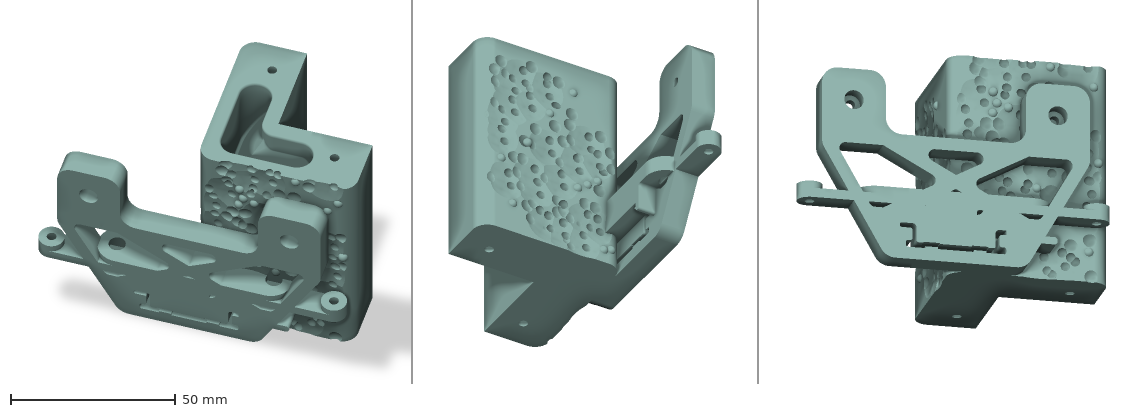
import cadquery as cq
import math


MIDDLE_X = 49.0
PLATE_DEPTH = 8.0
LAP_DEPTH = PLATE_DEPTH / 2
SCREW_DIAMETER = 3.0

BLOCK_LENGTH = 50.0
ARM_WIDTH = 20.0
BLOCK_HEIGHT = 70.0
BLOCK_CORNER_RADIUS = 5.0
BLOCK_SCREW_INSET = 11.8
BLOCK_SCREW_ALONG = 40.4

POCKET_WALL = 4.95
POCKET_WIDTH = 10.0
POCKET_LENGTH = 28.9
POCKET_INNER_RADIUS = 4.95
POCKET_END_RADIUS = 4.95
POCKET_RIM_RADIUS = 1.0
POCKET_SHALLOW_DEPTH = 6.9
POCKET_FLOOR_RADIUS = 0.6
POCKET_SLOPE = 60.0

CRATER_RIM_RADIUS = 6.5
CRATER_DEPTH = 1.1
BUBBLE_RADIUS = 2.6
BUBBLE_DEPTH = 1.2
PIT_RADIUS = 1.5
PIT_SINK = 0.5
SPHERES_PER_CUT = 6

BRACKET_WIDTH = 84.0
BRACKET_HEIGHT = 60.0
TOWER_WIDTH = 20.0
WEB_TOP = 40.0
OUTLINE_RADIUS = 5.0
SIDE_START = 35.0
BAR_WIDTH = 4.0
WINDOW_BOTTOM = 15.9
WINDOW_TOP = WEB_TOP - BAR_WIDTH
DIAGONAL_ANGLE = 28.3
WINDOW_RADIUS = 2.0
TOWER_HOLE_HEIGHT = 50.0
TOWER_COUNTERBORE_DIAMETER = 6.0
TOWER_COUNTERBORE_DEPTH = 4.95

RAIL_TOP = 11.6
LIP_BOTTOM = 10.1
RAIL_HALF_WIDTH = 17.6
POST_OUTER = 13.7
POST_INNER = 12.4
CHANNEL_HALF_WIDTH = 15.7
CHANNEL_BOTTOM = 3.9
CHANNEL_TOP = 6.0
CHANNEL_INNER_TOP = 5.5
RAIL_RADIUS = 0.7
SHOULDER_RADIUS = 1.3
RAIL_PAD_OFFSET = 7.6
PAD_WIDTH = 4.0
PAD_HEIGHT = 0.6
NOTCH_WIDTH = 5.2
NOTCH_HEIGHT = 0.3

STRAP_BASE = 17.5
STRAP_THICKNESS = 3.0
STRAP_HOLE_SPACING = 90.0
RING_HEIGHT = 5.2

CLIP_DEPTH = 14.0
FLANGE_THICKNESS = 5.2
FLANGE_CENTRE_SPACING = 48.0
FLANGE_HOLE_SPACING = 50.0
FLANGE_HOLE_DIAMETER = 5.2
CLIP_LEFT = 29.3
CLIP_BODY_RIGHT = 55.5
CLIP_JOINT_RADIUS = 0.9
HOOK_BOTTOM = 8.3
LEVER_TOP = 10.7
LEVER_END = 80.9
LEVER_TIP = 0.8


def front_prism(points, depth):
    """Prism over an outline of (x, z) points, running back from the front face."""
    return cq.Workplane("XZ").polyline(points).close().extrude(-depth)


def front_box(x_min, x_max, z_min, z_max):
    """Box as deep as the bracket, starting at the front face."""
    box = cq.Workplane("XY").box(x_max - x_min, PLATE_DEPTH, z_max - z_min, centered=False)
    return box.translate((x_min, 0, z_min))


def round_at(body, points, radius, depth=PLATE_DEPTH):
    """Round the front-to-back edges that pass through the given (x, z) points."""
    for x, z in points:
        body = body.edges(cq.selectors.NearestToPointSelector((x, depth / 2, z))).fillet(radius)
    return body


def mirrored(body):
    return body.mirror("YZ", (MIDDLE_X, 0, 0))



BLOCK_BACK = PLATE_DEPTH + BLOCK_LENGTH


def l_outline(inset, width, length):
    """L-shaped outline whose outer corner lies `inset` from the block's outer faces."""
    x = MIDDLE_X + inset
    y = PLATE_DEPTH + inset
    return (
        cq.Workplane("XY")
        .moveTo(x, y)
        .lineTo(x + length, y)
        .lineTo(x + length, y + width)
        .lineTo(x + width, y + width)
        .lineTo(x + width, y + length)
        .lineTo(x, y + length)
        .close()
    )


def make_pocket():
    """L-shaped pocket whose floor falls from the inner walls to the outer walls."""
    inner_x = MIDDLE_X + POCKET_WALL + POCKET_WIDTH
    inner_y = PLATE_DEPTH + POCKET_WALL + POCKET_WIDTH
    shallow_z = BLOCK_HEIGHT - POCKET_SHALLOW_DEPTH
    fall = POCKET_WIDTH * math.tan(math.radians(POCKET_SLOPE))
    deep_z = shallow_z - fall
    pocket = l_outline(POCKET_WALL, POCKET_WIDTH, POCKET_LENGTH).extrude(BLOCK_HEIGHT - deep_z)
    pocket = pocket.translate((0, 0, deep_z))
    inner_edge = cq.selectors.NearestToPointSelector((inner_x, inner_y, BLOCK_HEIGHT - fall))
    pocket = pocket.edges(inner_edge).fillet(POCKET_INNER_RADIUS)
    outer_edges = pocket.edges("|Z").filter(
        lambda e: math.hypot(e.Center().x - inner_x, e.Center().y - inner_y) > POCKET_WIDTH
    )
    pocket = pocket.newObject(outer_edges.vals()).fillet(POCKET_END_RADIUS)
    far_z = shallow_z + fall * BLOCK_LENGTH / POCKET_WIDTH
    wedge = [(-POCKET_WIDTH, deep_z), (0, shallow_z), (BLOCK_LENGTH, far_z), (BLOCK_LENGTH, deep_z)]
    slope_x = cq.Workplane("XZ").polyline(wedge).close().extrude(-BLOCK_LENGTH)
    slope_x = slope_x.translate((inner_x, PLATE_DEPTH, 0))
    slope_y = cq.Workplane("YZ").polyline(wedge).close().extrude(BLOCK_LENGTH)
    slope_y = slope_y.translate((MIDDLE_X, inner_y, 0))
    pocket = pocket.cut(slope_x.intersect(slope_y))
    floor_edges = pocket.edges("not |Z").filter(lambda e: e.Center().z < BLOCK_HEIGHT - POCKET_RIM_RADIUS)
    ridge = cq.selectors.NearestToPointSelector(
        (inner_x - POCKET_WIDTH / 2, inner_y - POCKET_WIDTH / 2, shallow_z - fall / 2)
    )
    floor_edges = floor_edges.filter(lambda e: not e.isSame(pocket.edges(ridge).val()))
    return pocket.newObject(floor_edges.vals()).fillet(POCKET_FLOOR_RADIUS)


LEFT_CRATERS = [
    (14.0, 58.4), (22.4, 56.4), (10.4, 54.4), (16.3, 49.9), (10.2, 46.3), (6.6, 41.5),
    (37.0, 41.8), (40.1, 36.5), (23.3, 35.5), (6.4, 34.2), (33.0, 32.4), (27.5, 24.6), (18.0, 23.1),
    (19.2, 18.6), (8.7, 18.3), (36.7, 12.7), (40.1, 12.2), (22.8, 7.3), (28.0, 6.5), (35.2, 4.6),
]
LEFT_BUBBLES = [
    (17.8, 63.8), (7.1, 62.2), (27.3, 61.4), (4.8, 58.4), (32.0, 51.2), (31.3, 46.9),
    (42.2, 46.3), (26.0, 44.6), (45.7, 41.4), (19.3, 41.1), (29.0, 39.9), (46.1, 35.7), (15.4, 35.3),
    (14.8, 28.3), (11.6, 28.0), (41.7, 26.0), (36.7, 19.4), (40.3, 19.1), (27.0, 17.2), (29.0, 14.0),
    (18.6, 13.4), (27.1, 12.8), (16.3, 11.5), (32.3, 2.6),
]
LEFT_PITS = [
    (23.4, 62.3), (32.5, 59.3), (26.5, 52.7), (24.3, 48.8), (43.4, 33.9), (16.5, 35.3), (41.1, 29.4),
    (37.5, 26.8), (7.1, 26.2), (34.2, 24.6), (29.2, 16.8), (21.0, 11.8), (11.2, 10.7), (45.8, 5.5),
    (43.3, 4.7),
]
FRONT_CRATERS = [
    (41.2, 70.0), (14.8, 69.5), (21.8, 65.5), (15.9, 65.1), (8.7, 56.2), (3.8, 49.3), (21.0, 48.8),
    (41.4, 42.5), (4.4, 41.4), (29.9, 35.1), (41.8, 33.6), (42.4, 29.4), (14.4, 28.2), (16.9, 26.8),
    (41.9, 21.0), (34.1, 5.3), (28.4, 3.6),
]
FRONT_BUBBLES = [
    (9.2, 68.8), (35.8, 67.5), (8.2, 66.1), (9.7, 61.7), (31.2, 61.5), (26.2, 61.1), (15.5, 48.7),
    (11.4, 48.5), (46.0, 47.2), (9.4, 45.5), (13.3, 44.3), (17.2, 42.6), (46.2, 34.2), (5.4, 33.5),
    (31.7, 28.6), (30.2, 27.1), (43.9, 13.4), (37.9, 11.1), (44.4, 1.6),
]
FRONT_PITS = [
    (25.5, 69.0), (31.5, 68.4), (45.0, 63.0), (17.9, 60.8), (22.4, 59.3), (13.7, 59.1), (41.8, 58.7),
    (17.2, 58.2), (14.85, 55.4), (18.3, 54.4), (13.5, 52.2), (14.6, 42.9), (46.5, 38.6), (24.5, 30.1),
    (27.2, 28.9), (23.7, 28.2), (25.2, 25.0), (43.6, 9.6), (38.0, 7.5), (39.4, 6.2), (32.2, 1.8),
]

CRATER_PIT_OFFSETS = [(2.3, -0.7), (1.3, 3.6)]
CRATER_BUBBLE_OFFSET = (-4.9, -0.2)


def on_left_face(along, height, outward):
    return cq.Location((MIDDLE_X - outward, BLOCK_BACK - along, height), (0, 0, 1), 180)


def on_front_face(along, height, outward):
    return cq.Location((MIDDLE_X + along, PLATE_DEPTH - outward, height), (0, 0, 1), -90)


def crater_spheres(place, craters, bubbles, pits):
    """Spheres that hollow one face: wide craters with their hollows, and loose bubbles and pits."""
    crater_radius = (CRATER_RIM_RADIUS**2 + CRATER_DEPTH**2) / (2 * CRATER_DEPTH)
    all_bubbles = list(bubbles)
    all_pits = list(pits)
    for along, height in craters:
        all_bubbles.append((along + CRATER_BUBBLE_OFFSET[0], height + CRATER_BUBBLE_OFFSET[1]))
        for across, up in CRATER_PIT_OFFSETS:
            all_pits.append((along + across, height + up))
    groups = [
        (craters, crater_radius, crater_radius - CRATER_DEPTH),
        (all_bubbles, BUBBLE_RADIUS, BUBBLE_RADIUS - BUBBLE_DEPTH),
        (all_pits, PIT_RADIUS, -PIT_SINK),
    ]
    spheres = []
    for positions, radius, outward in groups:
        for along, height in positions:
            sphere = cq.Workplane("XY").sphere(radius).val()
            spheres.append(sphere.moved(place(along, height, outward)))
    return spheres


def make_plain_block(clip):
    """L-shaped block with its pocket, screw holes and the recess that takes the clip."""
    block = l_outline(0, ARM_WIDTH, BLOCK_LENGTH).extrude(BLOCK_HEIGHT)
    right = MIDDLE_X + BLOCK_LENGTH
    for x, y in [(MIDDLE_X, PLATE_DEPTH), (MIDDLE_X, BLOCK_BACK), (right, PLATE_DEPTH)]:
        edge = cq.selectors.NearestToPointSelector((x, y, BLOCK_HEIGHT / 2))
        block = block.edges(edge).fillet(BLOCK_CORNER_RADIUS)
    block = block.cut(make_pocket())
    rim_point = (MIDDLE_X + POCKET_WALL, PLATE_DEPTH + POCKET_LENGTH / 2, BLOCK_HEIGHT)
    block = block.edges(cq.selectors.NearestToPointSelector(rim_point)).fillet(POCKET_RIM_RADIUS)
    screw_points = [
        (MIDDLE_X + BLOCK_SCREW_INSET, PLATE_DEPTH + BLOCK_SCREW_ALONG),
        (MIDDLE_X + BLOCK_SCREW_ALONG, PLATE_DEPTH + BLOCK_SCREW_INSET),
    ]
    screws = cq.Workplane("XY").pushPoints(screw_points).circle(SCREW_DIAMETER / 2).extrude(BLOCK_HEIGHT)
    block = block.cut(screws)
    return block.cut(clip)


def cratered(block):
    """Hollow the two outer faces with craters."""
    spheres = crater_spheres(on_left_face, LEFT_CRATERS, LEFT_BUBBLES, LEFT_PITS)
    spheres += crater_spheres(on_front_face, FRONT_CRATERS, FRONT_BUBBLES, FRONT_PITS)
    body = block.val()
    for start in range(0, len(spheres), SPHERES_PER_CUT):
        body = body.cut(*spheres[start : start + SPHERES_PER_CUT])
    return cq.Workplane(body)



BRACKET_LEFT = MIDDLE_X - BRACKET_WIDTH / 2
TOWER_INNER = BRACKET_LEFT + TOWER_WIDTH
SIDE_SLOPE = SIDE_START / TOWER_WIDTH


def make_bracket_plate():
    left_half = [
        (MIDDLE_X, 0),
        (TOWER_INNER, 0),
        (BRACKET_LEFT, SIDE_START),
        (BRACKET_LEFT, BRACKET_HEIGHT),
        (TOWER_INNER, BRACKET_HEIGHT),
        (TOWER_INNER, WEB_TOP),
        (MIDDLE_X, WEB_TOP),
    ]
    half = round_at(front_prism(left_half, PLATE_DEPTH), left_half[1:-1], OUTLINE_RADIUS)
    return half.union(mirrored(half))


def make_windows():
    """Four openings left between the edge bars and the two crossing diagonals."""
    middle_z = (WINDOW_BOTTOM + WINDOW_TOP) / 2
    half_height = (WINDOW_TOP - WINDOW_BOTTOM) / 2
    slope = math.tan(math.radians(DIAGONAL_ANGLE))
    tip_gap = BAR_WIDTH / 2 / math.sin(math.radians(DIAGONAL_ANGLE))
    apex_gap = BAR_WIDTH / 2 / math.cos(math.radians(DIAGONAL_ANGLE))
    side_shift = BAR_WIDTH / math.sin(math.atan(SIDE_SLOPE))

    def side_x(z):
        return TOWER_INNER - z / SIDE_SLOPE + side_shift

    reach = half_height / slope
    tip = (MIDDLE_X - tip_gap, middle_z)
    lower_outer = (side_x(WINDOW_BOTTOM), WINDOW_BOTTOM)
    upper_outer = (side_x(WINDOW_TOP), WINDOW_TOP)
    left = front_prism(
        [
            tip,
            (MIDDLE_X - tip_gap - reach, WINDOW_TOP),
            upper_outer,
            lower_outer,
            (MIDDLE_X - tip_gap - reach, WINDOW_BOTTOM),
        ],
        PLATE_DEPTH,
    )
    left = round_at(left, [tip, lower_outer, upper_outer], WINDOW_RADIUS)

    half_base = (half_height - apex_gap) / slope
    upper_corners = [(MIDDLE_X - half_base, WINDOW_TOP), (MIDDLE_X + half_base, WINDOW_TOP)]
    upper = front_prism([(MIDDLE_X, middle_z + apex_gap), *upper_corners], PLATE_DEPTH)
    upper = round_at(upper, upper_corners, WINDOW_RADIUS)
    lower = upper.mirror("XY", (0, 0, middle_z))
    return [left, mirrored(left), upper, lower]


def make_rail_slot():
    """Hat-shaped slot for a rail: two lips, two posts and a bottom channel."""
    left_half = [
        (MIDDLE_X, CHANNEL_BOTTOM),
        (MIDDLE_X - CHANNEL_HALF_WIDTH, CHANNEL_BOTTOM),
        (MIDDLE_X - CHANNEL_HALF_WIDTH, CHANNEL_TOP),
        (MIDDLE_X - POST_OUTER, CHANNEL_TOP),
        (MIDDLE_X - POST_OUTER, LIP_BOTTOM),
        (MIDDLE_X - RAIL_HALF_WIDTH, LIP_BOTTOM),
        (MIDDLE_X - RAIL_HALF_WIDTH, RAIL_TOP),
        (MIDDLE_X - POST_INNER, RAIL_TOP),
        (MIDDLE_X - POST_INNER, CHANNEL_INNER_TOP),
        (MIDDLE_X, CHANNEL_INNER_TOP),
    ]
    half = front_prism(left_half, PLATE_DEPTH)
    tongue_shoulder = (MIDDLE_X - POST_INNER, RAIL_TOP)
    small_corners = [point for point in left_half[1:-1] if point != tongue_shoulder]
    half = round_at(half, small_corners, RAIL_RADIUS)
    half = round_at(half, [tongue_shoulder], SHOULDER_RADIUS)
    pad_x = MIDDLE_X - RAIL_PAD_OFFSET
    half = half.cut(
        front_box(pad_x - PAD_WIDTH / 2, pad_x + PAD_WIDTH / 2, CHANNEL_BOTTOM, CHANNEL_BOTTOM + PAD_HEIGHT)
    )
    notch = front_box(
        pad_x - NOTCH_WIDTH / 2, pad_x + NOTCH_WIDTH / 2, CHANNEL_INNER_TOP, CHANNEL_INNER_TOP + NOTCH_HEIGHT
    )
    half = half.union(notch)
    return half.union(mirrored(half))


def make_whole_bracket():
    bracket = make_bracket_plate()
    for window in make_windows():
        bracket = bracket.cut(window)
    bracket = bracket.cut(make_rail_slot())
    hole_offset = (BRACKET_WIDTH - TOWER_WIDTH) / 2
    hole_points = [(MIDDLE_X - hole_offset, TOWER_HOLE_HEIGHT), (MIDDLE_X + hole_offset, TOWER_HOLE_HEIGHT)]
    front = cq.Workplane("XZ").pushPoints(hole_points)
    bracket = bracket.cut(front.circle(SCREW_DIAMETER / 2).extrude(-PLATE_DEPTH))
    return bracket.cut(front.circle(TOWER_COUNTERBORE_DIAMETER / 2).extrude(-TOWER_COUNTERBORE_DEPTH))




def make_whole_strap():
    """Flat bar with a taller drilled ring at each end."""
    half_spacing = STRAP_HOLE_SPACING / 2
    bar = front_box(
        MIDDLE_X - half_spacing, MIDDLE_X + half_spacing, STRAP_BASE, STRAP_BASE + STRAP_THICKNESS
    )
    ends = [(MIDDLE_X - half_spacing, PLATE_DEPTH / 2), (MIDDLE_X + half_spacing, PLATE_DEPTH / 2)]
    level = cq.Workplane("XY", origin=(0, 0, STRAP_BASE)).pushPoints(ends)
    strap = bar.union(level.circle(PLATE_DEPTH / 2).extrude(RING_HEIGHT))
    return strap.cut(level.circle(SCREW_DIAMETER / 2).extrude(RING_HEIGHT))




def make_flange():
    """Plate with round ends and two screw holes."""
    flange = (
        cq.Workplane("XY", origin=(MIDDLE_X, CLIP_DEPTH / 2, STRAP_BASE))
        .slot2D(FLANGE_CENTRE_SPACING + CLIP_DEPTH, CLIP_DEPTH)
        .extrude(FLANGE_THICKNESS)
    )
    return (
        flange.faces(">Z")
        .workplane(origin=(MIDDLE_X, CLIP_DEPTH / 2, 0))
        .pushPoints([(-FLANGE_HOLE_SPACING / 2, 0), (FLANGE_HOLE_SPACING / 2, 0)])
        .hole(FLANGE_HOLE_DIAMETER)
    )


def make_hooks():
    """Rail hooks under the flange: a stiff one on the left, a sprung one with a lever on the right."""
    outline = (
        cq.Workplane("XZ")
        .moveTo(CLIP_LEFT, STRAP_BASE)
        .lineTo(CLIP_LEFT, 8.9)
        .threePointArc((29.5, 8.5), (29.9, HOOK_BOTTOM))
        .lineTo(30.6, HOOK_BOTTOM)
        .lineTo(31.8, 9.7)
        .lineTo(31.8, LIP_BOTTOM)
        .lineTo(31.1, LIP_BOTTOM)
        .lineTo(31.1, RAIL_TOP)
        .lineTo(57.4, RAIL_TOP)
        .lineTo(58.8, 11.8)
        .lineTo(61.4, 13.1)
        .threePointArc((63.2, 13.4), (64.7, 12.1))
        .lineTo(64.7, LIP_BOTTOM)
        .lineTo(66.1, LIP_BOTTOM)
        .lineTo(66.2, 9.1)
        .threePointArc((66.4, 8.6), (67.0, HOOK_BOTTOM))
        .lineTo(LEVER_END - LEVER_TIP, HOOK_BOTTOM)
        .threePointArc((LEVER_END, (HOOK_BOTTOM + LEVER_TOP) / 2), (LEVER_END - LEVER_TIP, LEVER_TOP))
        .lineTo(71.2, LEVER_TOP)
        .lineTo(64.2, 15.0)
        .threePointArc((62.7, 15.4), (61.2, 15.0))
        .lineTo(58.8, 13.8)
        .lineTo(56.8, 13.8)
        .threePointArc((55.9, 14.2), (CLIP_BODY_RIGHT, 15.0))
        .lineTo(CLIP_BODY_RIGHT, STRAP_BASE)
        .close()
    )
    return outline.extrude(-CLIP_DEPTH)


def make_whole_clip():
    clip = make_flange().union(make_hooks())
    joints = [(CLIP_LEFT, STRAP_BASE), (CLIP_BODY_RIGHT, STRAP_BASE)]
    return round_at(clip, joints, CLIP_JOINT_RADIUS, CLIP_DEPTH)




def half_lapped(body, bracket):
    """Keep only the front half of the body where it crosses the bracket."""
    front_half = cq.Workplane("XY").box(2 * BLOCK_LENGTH, LAP_DEPTH, BLOCK_HEIGHT, centered=False)
    crossing = body.intersect(bracket).intersect(front_half)
    return body.cut(bracket, clean=False).union(crossing, clean=False)


whole_bracket = make_whole_bracket()
strap = half_lapped(make_whole_strap(), whole_bracket)
clip = half_lapped(make_whole_clip(), whole_bracket).cut(strap, clean=False)
bracket = whole_bracket.cut(strap, clean=False).cut(clip, clean=False)
block = cratered(make_plain_block(clip))

result = cq.Compound.makeCompound([block.val(), bracket.val(), strap.val(), clip.val()])